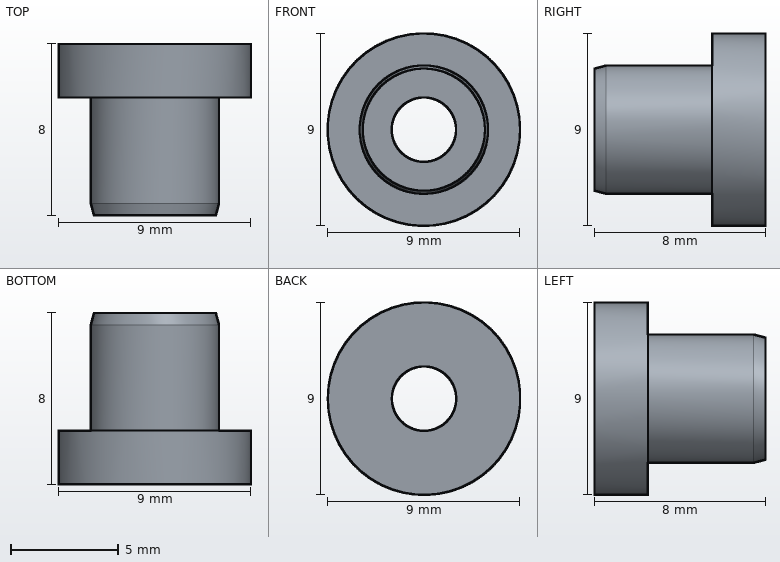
import cadquery as cq
import math

flange_diameter = 9.0
total_length = 8.0
flange_thickness = 2.5
shank_diameter = 6.0
bore_diameter = 3.0

taper_length = 0.56
taper_angle = 15.0

flange_radius = flange_diameter / 2
shank_radius = shank_diameter / 2
bore_radius = bore_diameter / 2
tip_radius = shank_radius - taper_length * math.tan(math.radians(taper_angle))
shoulder_y = total_length - flange_thickness

half_section = (
    cq.Workplane("XY")
    .moveTo(bore_radius, 0)
    .lineTo(tip_radius, 0)
    .lineTo(shank_radius, taper_length)
    .lineTo(shank_radius, shoulder_y)
    .lineTo(flange_radius, shoulder_y)
    .lineTo(flange_radius, total_length)
    .lineTo(bore_radius, total_length)
    .close()
)

result = half_section.revolve(360, (0, 0, 0), (0, 1, 0))